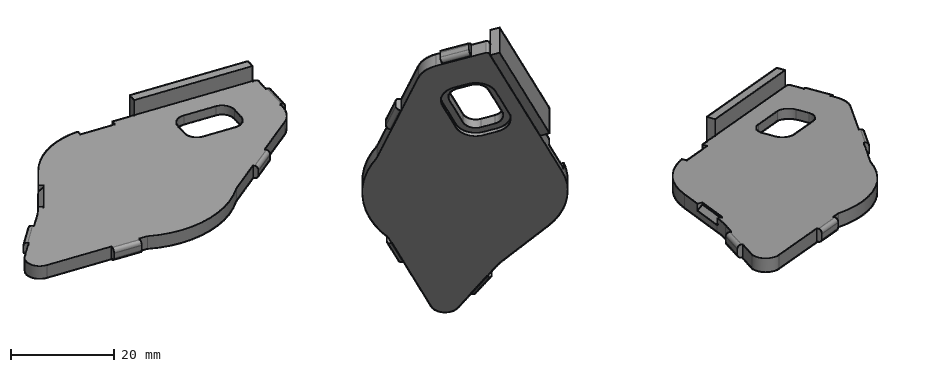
import cadquery as cq
import math

thickness = 3.0
right_edge = 38.55
top_edge = 68.85
corner_radius = 0.55

shoulder_start = (10.9, top_edge)
shoulder_end = (15.4, 66.9)
bulge_start = (31.8, 47.8)
bulge_center_y = 31.5
bulge_reach = 39.75
bulge_end = (right_edge, 24.85)
tip_radius = 2.95
tip_slope = 36.3
belly_start = (0, 30.8)
belly_end = (8.6, 16.6)
waist_start = (19.6, 10.85)
waist_end = (22.75, 8.95)

wall_thickness = 1.95
wall_bottom = 0.1
wall_top = 6.5
wall_low_y = 42.0
wall_high_y = 67.8

window_width = 8.2
window_length = 12.3
window_radius = 2.65
window_center = (8.6, 53.95)
recess_margin = 1.5
recess_depth = 0.85

tab_width = 6.0
tab_reach = 1.1
tab_root = 0.7
tab_bottom = 0.15
tab_top_radius = 0.85
tab_bottom_radius = 0.85
diagonal_drop = shoulder_end[1] - bulge_start[1]
diagonal_run = bulge_start[0] - shoulder_end[0]
diagonal_slope = math.degrees(math.atan2(diagonal_drop, diagonal_run))
tabs = [
    ((6.6, top_edge), 90),
    ((24.15, 56.7), 90 - diagonal_slope),
    ((right_edge, 20.1), 0),
    ((27.65, 5.25), -90 - tip_slope),
]

notch_width = 7.55
notch_depth = 1.1
notch_back_height = 0.4
notch_height = 1.55
notch_overlap = 0.35
belly_slope = math.degrees(math.atan2(belly_end[1] - waist_start[1], waist_start[0] - belly_end[0]))
notches = [
    ((0, 33.45), 180),
    ((16.45, 12.45), -90 - belly_slope),
]


def make_plate():
    tip_center = (right_edge - tip_radius, tip_radius)
    tip_end = (
        tip_center[0] - tip_radius * math.sin(math.radians(tip_slope)),
        tip_center[1] - tip_radius * math.cos(math.radians(tip_slope)),
    )
    plate = (
        cq.Workplane("XY")
        .moveTo(0, top_edge)
        .lineTo(*shoulder_start)
        .tangentArcPoint(shoulder_end, relative=False)
        .lineTo(*bulge_start)
        .threePointArc((bulge_reach, bulge_center_y), bulge_end)
        .lineTo(right_edge, tip_radius)
        .tangentArcPoint(tip_end, relative=False)
        .lineTo(*waist_end)
        .tangentArcPoint(waist_start, relative=False)
        .lineTo(*belly_end)
        .tangentArcPoint(belly_start, relative=False)
        .close()
        .extrude(thickness)
    )
    top_left_corner = cq.selectors.NearestToPointSelector((0, top_edge, thickness / 2))
    return plate.edges("|Z").edges(top_left_corner).fillet(corner_radius)


def make_wall():
    size = (wall_thickness, wall_high_y - wall_low_y, wall_top - wall_bottom)
    return cq.Workplane("XY").box(*size, centered=False).translate((-wall_thickness, wall_low_y, wall_bottom))


def rounded_block(margin, height):
    """Window shape grown outward by a margin and raised from the underside."""
    return (
        cq.Workplane("XY")
        .center(*window_center)
        .rect(window_width + 2 * margin, window_length + 2 * margin)
        .extrude(height)
        .edges("|Z")
        .fillet(window_radius + margin)
    )


def make_window():
    """Through window with a shallow recess around it on the underside."""
    return rounded_block(0, thickness).union(rounded_block(recess_margin, recess_depth))


def place_on_edge(body, place, direction):
    """Turn a body that faces +X at the origin and move it to its place on the edge."""
    return body.rotate((0, 0, 0), (0, 0, 1), direction).translate((*place, 0))


def make_tab():
    length = tab_root + tab_reach
    block = (
        cq.Workplane("XY")
        .box(length, tab_width, thickness - tab_bottom, centered=(False, True, False))
        .translate((-tab_root, 0, tab_bottom))
    )
    return block.edges(">X and >Z").fillet(tab_top_radius).edges(">X and <Z").fillet(tab_bottom_radius)


def make_notch():
    return (
        cq.Workplane("XZ")
        .moveTo(-notch_depth, thickness)
        .lineTo(-notch_depth, thickness - notch_back_height)
        .lineTo(0, thickness - notch_height)
        .lineTo(notch_overlap, thickness - notch_height)
        .lineTo(notch_overlap, thickness)
        .close()
        .extrude(notch_width / 2, both=True)
    )


result = make_plate().union(make_wall()).cut(make_window())
for place, direction in tabs:
    result = result.union(place_on_edge(make_tab(), place, direction))
for place, direction in notches:
    result = result.cut(place_on_edge(make_notch(), place, direction))